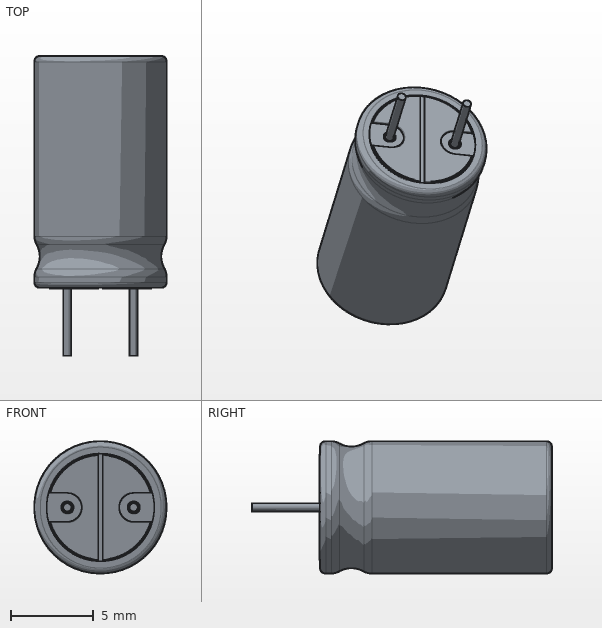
import cadquery as cq
import math

can_diameter = 8.0
can_radius = can_diameter / 2
can_length = 14.0
edge_fillet = 0.35

groove_center = 1.9
groove_half_width = 1.23
groove_shoulder_radius = 1.0
groove_valley_radius = 1.5

seal_diameter = 6.5
seal_recess = 0.09
pad_clearance = 0.075
pad_projection = 0.05
seal_edge_fillet = 0.025
channel_width = 0.28
notch_width = 1.74

lead_diameter = 0.5
lead_pitch = 4.0
lead_length = 4.1

lead_hole_diameter = 0.72
lead_hole_depth = 0.05
lead_bore_diameter = 0.57
lead_bore_depth = 0.1

seal_floor = seal_recess
pad_height = seal_recess + pad_projection


def cylinder_along_y(diameter, start, length, x=0.0):
    """Cylinder whose axis is parallel to Y, running from start towards +Y."""
    return cq.Workplane("XZ", origin=(x, start, 0)).circle(diameter / 2).extrude(-length)


def make_can():
    """Revolve the can's half outline, including the crimp groove, about Y."""
    blend_radius = groove_shoulder_radius + groove_valley_radius
    blend_angle = math.asin(groove_half_width / blend_radius)
    groove_depth = blend_radius * (1 - math.cos(blend_angle))
    valley_half_width = groove_valley_radius * math.sin(blend_angle)
    valley_rise = groove_valley_radius * (1 - math.cos(blend_angle))
    valley_radius = can_radius - groove_depth
    valley_edge_radius = valley_radius + valley_rise

    shoulder_mid_offset = groove_half_width - groove_shoulder_radius * math.sin(blend_angle / 2)
    shoulder_mid_radius = can_radius - groove_shoulder_radius * (1 - math.cos(blend_angle / 2))

    outline = (
        cq.Workplane("XY")
        .moveTo(0, 0)
        .lineTo(can_radius, 0)
        .lineTo(can_radius, groove_center - groove_half_width)
        .threePointArc(
            (shoulder_mid_radius, groove_center - shoulder_mid_offset),
            (valley_edge_radius, groove_center - valley_half_width),
        )
        .threePointArc(
            (valley_radius, groove_center),
            (valley_edge_radius, groove_center + valley_half_width),
        )
        .threePointArc(
            (shoulder_mid_radius, groove_center + shoulder_mid_offset),
            (can_radius, groove_center + groove_half_width),
        )
        .lineTo(can_radius, can_length)
        .lineTo(0, can_length)
        .close()
    )
    can = outline.revolve(axisStart=(0, 0, 0), axisEnd=(0, 1, 0))
    can = can.faces("<Y or >Y").edges().fillet(edge_fillet)
    return can.cut(cylinder_along_y(seal_diameter, 0, seal_recess))


def make_notch(side):
    """Round-ended notch, open at the rim, that clears the lead on one side."""
    lead_x = side * lead_pitch / 2
    slot_length = can_radius - lead_pitch / 2
    round_end = cylinder_along_y(notch_width, seal_floor, -pad_height, lead_x)
    straight = (
        cq.Workplane("XZ", origin=(lead_x + side * slot_length / 2, seal_floor, 0))
        .rect(slot_length, notch_width)
        .extrude(pad_height)
    )
    return round_end.union(straight)


def make_pads():
    """Two raised seal pads, notched around the leads and split by the channel."""
    pads = cylinder_along_y(seal_diameter - 2 * pad_clearance, seal_floor, -pad_height)
    for side in (-1, 1):
        pads = pads.cut(make_notch(side))
    pads = pads.faces("<Y").edges().fillet(seal_edge_fillet)
    channel = (
        cq.Workplane("XZ", origin=(0, seal_floor, 0))
        .rect(channel_width, seal_diameter)
        .extrude(pad_height)
    )
    return pads.cut(channel)


def make_lead_hole(lead_x):
    """Stepped clearance hole with a rounded mouth, cut around a lead."""
    mouth_radius = lead_hole_diameter / 2 + seal_edge_fillet
    mouth = cylinder_along_y(2 * mouth_radius, seal_floor, seal_edge_fillet, lead_x)
    lip = cq.Workplane(
        cq.Solid.makeTorus(
            mouth_radius,
            seal_edge_fillet,
            cq.Vector(lead_x, seal_floor + seal_edge_fillet, 0),
            cq.Vector(0, 1, 0),
        )
    )
    hole = cylinder_along_y(lead_hole_diameter, seal_floor, lead_hole_depth, lead_x)
    bore = cylinder_along_y(lead_bore_diameter, seal_floor, lead_bore_depth, lead_x)
    return mouth.cut(lip).union(hole).union(bore)


def make_lead(lead_x):
    """Straight round lead, rooted at the bottom of its clearance hole."""
    root = seal_floor + lead_bore_depth
    return cylinder_along_y(lead_diameter, -lead_length, lead_length + root, lead_x)


result = make_can().union(make_pads())
for side in (-1, 1):
    lead_x = side * lead_pitch / 2
    result = result.cut(make_lead_hole(lead_x)).union(make_lead(lead_x))